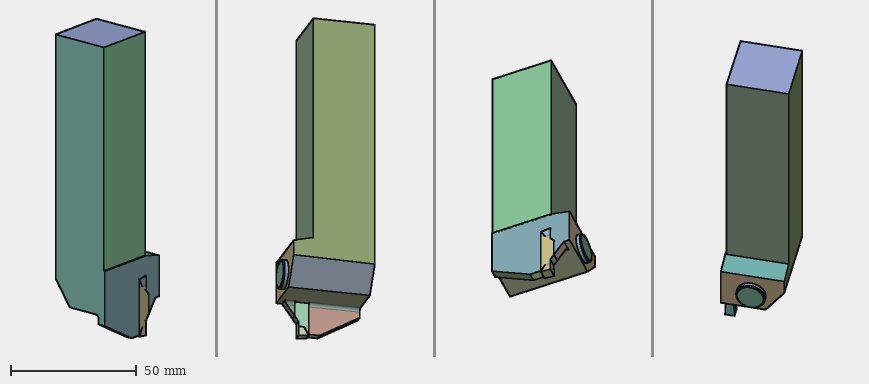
import cadquery as cq

total_height = 127.0
shank_width = 25.1
shank_depth = 25.4

head_back = 33.5
head_bottom = 14.2
head_shoulder = 31.4
head_top = 33.4
head_right = 25.7
flank_overhang = 0.3
corner_width = 7.4
corner_top = 24.8

blade_thickness = 3.4
blade_left = head_right - blade_thickness
blade_bottom = 1.0
blade_front_height = 10.4
blade_toe = 16.5
blade_root = 31.1
blade_fillet = 1.4

screw_diameter = 11.8
screw_x = 13.2
screw_z = 21.7
screw_end = 35.5
screw_chamfer = 0.5

insert_length = 25.0
insert_front = 21.1
insert_back = 26.8
rake_y = 25.3
ramp_start = 6.1
end_relief = 0.5
tip_length = 4.0
tip_rake_front = 23.0
tip_right = head_right + 0.1
tip_width = 4.0
tip_left = tip_right - tip_width
tip_side_relief = 0.1

ramp_slope = (head_bottom - ramp_start) / (blade_root - rake_y)
ramp_end = ramp_start + ramp_slope * (insert_back - rake_y)


def extrude_along_x(points, left, right):
    """Prism between two X positions from an outline of (Y, Z) points."""
    return cq.Workplane("YZ").workplane(offset=left).polyline(points).close().extrude(right - left)


def extrude_along_y(points, front, back):
    """Prism between two Y positions from an outline of (X, Z) points."""
    return cq.Workplane("XZ").workplane(offset=-front).polyline(points).close().extrude(front - back)


def make_shank():
    back_left = -flank_overhang * shank_depth / head_back
    plan = [(0, 0), (shank_width, 0), (shank_width, shank_depth), (back_left, shank_depth)]
    return (
        cq.Workplane("XY", origin=(0, 0, head_top))
        .polyline(plan)
        .close()
        .extrude(total_height - head_top)
    )


def make_head():
    side = [(0, head_bottom), (head_back, head_bottom), (head_back, head_shoulder),
            (shank_depth, head_top), (0, head_top)]
    plan = [(0, 0), (head_right, 0), (head_right, head_back),
            (-flank_overhang, head_back)]
    head = extrude_along_x(side, -flank_overhang, head_right)
    head = head.intersect(cq.Workplane("XY").polyline(plan).close().extrude(head_top))
    bevel_slope = (corner_top - head_bottom) / corner_width
    corner = [(corner_width, head_bottom), (-flank_overhang, head_bottom),
              (-flank_overhang, corner_top + bevel_slope * flank_overhang)]
    return head.cut(extrude_along_y(corner, 0, head_back))


def make_blade():
    side = [(0, head_bottom), (0, blade_front_height), (blade_toe, blade_bottom),
            (insert_front, blade_bottom), (rake_y, ramp_start), (blade_root, head_bottom)]
    fillet_left = blade_left - blade_fillet
    section = (
        cq.Workplane("XZ")
        .moveTo(fillet_left, head_bottom)
        .radiusArc((blade_left, head_bottom - blade_fillet), blade_fillet)
        .lineTo(blade_left, 0)
        .lineTo(head_right, 0)
        .lineTo(head_right, head_bottom)
        .close()
        .extrude(-head_back)
    )
    return extrude_along_x(side, fillet_left, head_right).intersect(section)


def make_screw_head():
    return (
        cq.Workplane("XZ", origin=(screw_x, head_back, screw_z))
        .circle(screw_diameter / 2)
        .extrude(head_back - screw_end)
        .faces(">Y")
        .chamfer(screw_chamfer)
    )


def make_insert_half():
    """Lower half of the insert, with its widened cutting tip."""
    body = extrude_along_x(
        [(insert_front, end_relief), (rake_y, 0), (rake_y, ramp_start), (insert_back, ramp_end),
         (insert_back, insert_length / 2), (insert_front, insert_length / 2)],
        blade_left, head_right)
    tip = extrude_along_x(
        [(insert_front, end_relief), (rake_y, 0), (rake_y, tip_length), (tip_rake_front, tip_length)],
        tip_left, tip_right)
    taper = extrude_along_y(
        [(tip_left, 0), (tip_right, 0), (tip_right - tip_side_relief, tip_length),
         (tip_left + tip_side_relief, tip_length)],
        insert_front, rake_y)
    return body.union(tip.intersect(taper))


def make_insert():
    lower = make_insert_half()
    upper = lower.mirror("XY", (0, 0, insert_length / 2))
    return lower.union(upper)


def make_holder(insert):
    holder = make_shank().union(make_head()).union(make_blade()).union(make_screw_head())
    pocket_left = blade_left - blade_fillet
    pocket = cq.Workplane("XY", origin=(pocket_left, insert_front, 0)).box(
        head_right - pocket_left, insert_back - insert_front, head_bottom, centered=False)
    return holder.cut(pocket).cut(insert).clean()


insert = make_insert()
holder = make_holder(insert)

result = cq.Compound.makeCompound([holder.val(), insert.val()])